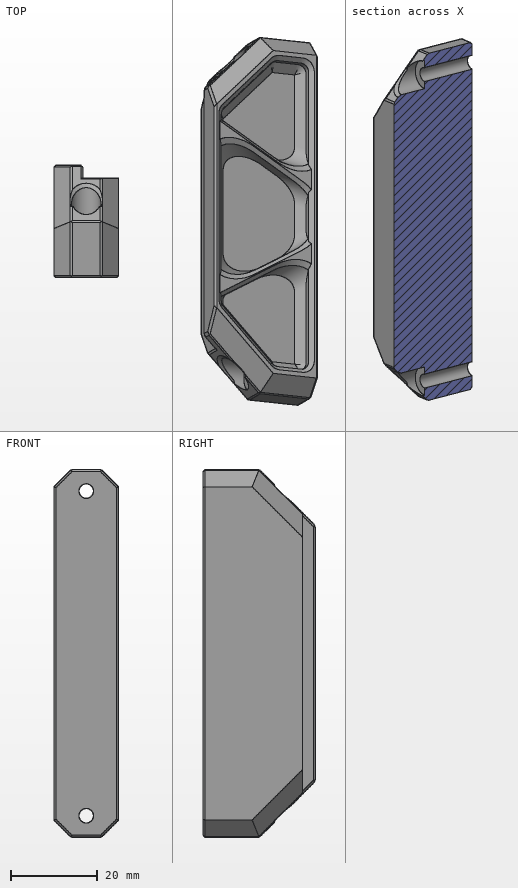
import cadquery as cq
import math

WIDTH = 15.0
DEPTH = 26.0
HEIGHT = 85.0
HALF_WIDTH = WIDTH / 2
HALF_HEIGHT = HEIGHT / 2
MID_DEPTH = DEPTH / 2

SLOPE_RUN = 13.0
SLOPE_ANGLE = 45.0
SLOPE_START = DEPTH - SLOPE_RUN
SIDE_CHAMFER = 4.0
EDGE_BREAK = 0.5
FLAT_BEVEL = 0.3

STEP_X = -0.75
STEP_Y = 23.0

WALL = 2.0
RECESS_DEPTH = 4.5
CORNER_RADIUS = 2.0
RIM_CHAMFER = 1.0
FLOOR_CHAMFER = 2.0
RECESS_TAPER = 45.0
RECESS_FLOOR = -HALF_WIDTH + RECESS_DEPTH

RIB_ANGLE = 30.0
RIB_THICKNESS = 2.0
RIB_MID_Z = 13.7
RIB_TOP_DROP = 0.5
RIB_CHAMFER = 0.87
RIB_FILLET = 5.0
WIDE_CORNER_FILLET = 1.0
BAY_HEIGHT = RECESS_DEPTH - RIB_TOP_DROP

HOLE_Z = 37.5
HOLE_DIAMETER = 3.3
COUNTERBORE_DIAMETER = 6.8
COUNTERBORE_FLOOR = 14.0
COUNTERBORE_CHAMFER = 0.6
CHAMFER_END_Y = 16.5

TOOL_SIZE = 2 * HEIGHT


def chamfer_face(face_a, face_b, setback):
    """Flat face that breaks the edge between two faces equally on both."""
    (normal_a, distance_a), (normal_b, distance_b) = face_a, face_b
    total = normal_a + normal_b
    edge_angle_sine = normal_a.cross(normal_b).Length
    distance = (distance_a + distance_b - setback * edge_angle_sine) / total.Length
    return total.normalized(), distance


def trim(solid, faces):
    """Remove everything outside the given flat faces."""
    for normal, distance in faces:
        plane = cq.Plane(origin=normal * distance, normal=normal)
        solid = solid.cut(cq.Workplane(plane).rect(TOOL_SIZE, TOOL_SIZE).extrude(TOOL_SIZE))
    return solid


FRONT = (cq.Vector(0, -1, 0), 0.0)
BACK = (cq.Vector(0, 1, 0), DEPTH)
STEP_WALL = (cq.Vector(1, 0, 0), STEP_X)
STEP_BASE = (cq.Vector(0, 1, 0), STEP_Y)
SIDES = [(cq.Vector(sign, 0, 0), HALF_WIDTH) for sign in (-1, 1)]
ENDS = [(cq.Vector(0, 0, sign), HALF_HEIGHT) for sign in (-1, 1)]
SLOPES = [
    (cq.Vector(0, 1, sign).normalized(), (SLOPE_START + HALF_HEIGHT) / math.sqrt(2))
    for sign in (-1, 1)
]


def make_convex_body():
    """Full-depth body with all its outer chamfers, before the step."""
    faces = SLOPES + [chamfer_face(end, slope, FLAT_BEVEL) for end, slope in zip(ENDS, SLOPES)]
    faces += [chamfer_face(FRONT, end, EDGE_BREAK) for end in ENDS]
    faces += [chamfer_face(BACK, slope, EDGE_BREAK) for slope in SLOPES]
    for side in SIDES:
        faces += [chamfer_face(FRONT, side, EDGE_BREAK), chamfer_face(BACK, side, EDGE_BREAK)]
        for flat, outer in [(end, FRONT) for end in ENDS] + [(slope, BACK) for slope in SLOPES]:
            side_chamfer = chamfer_face(side, flat, SIDE_CHAMFER)
            faces.append(side_chamfer)
            faces.append(chamfer_face(flat, side_chamfer, FLAT_BEVEL))
            faces.append(chamfer_face(outer, side_chamfer, EDGE_BREAK))
    block = cq.Workplane("XY").box(WIDTH, DEPTH, HEIGHT).translate((0, MID_DEPTH, 0))
    return trim(block, faces)


def make_stepped_body():
    """Join the low full-width part and the full-depth part beside the step."""
    body = make_convex_body()
    low_part = trim(body, [STEP_BASE] + [chamfer_face(STEP_BASE, s, FLAT_BEVEL) for s in SLOPES])
    wall_breaks = [chamfer_face(STEP_WALL, face, EDGE_BREAK) for face in [BACK] + SLOPES]
    high_part = trim(body, [STEP_WALL] + wall_breaks)
    return low_part.union(high_part)


def recess_layer(inset, depth, height, taper=0):
    """Outline of the flat -X side moved inwards by inset, extruded from depth towards the floor."""
    sloped_inset = SIDE_CHAMFER + inset
    bend = sloped_inset * math.tan(math.radians(SLOPE_ANGLE / 2))
    front = inset
    back = DEPTH - inset
    top = HALF_HEIGHT - sloped_inset
    slope_y = SLOPE_START - bend
    slope_z = top + slope_y - back
    upper = [(front, top), (slope_y, top), (back, slope_z)]
    lower = [(y, -z) for y, z in reversed(upper)]
    radius = CORNER_RADIUS + WALL - inset
    outline = cq.Sketch().polygon(upper + lower + upper[:1]).vertices().fillet(radius)
    plane = cq.Workplane("YZ").workplane(offset=-HALF_WIDTH + depth)
    return plane.placeSketch(outline).extrude(height, taper=taper)


def make_bowl():
    """Recess without ribs: chamfered rim, upright wall and chamfered floor edge."""
    rim = recess_layer(WALL - RIM_CHAMFER, 0, RIM_CHAMFER, RECESS_TAPER)
    upright_height = RECESS_DEPTH - RIM_CHAMFER - FLOOR_CHAMFER
    upright = recess_layer(WALL, RIM_CHAMFER, upright_height)
    floor_edge = recess_layer(WALL, RECESS_DEPTH - FLOOR_CHAMFER, FLOOR_CHAMFER, RECESS_TAPER)
    return rim.union(upright).union(floor_edge)


def rib_face(side, end):
    """Side of a rib as a bay limit: side +1 faces away from the middle, end picks the rib."""
    angle = math.radians(RIB_ANGLE)
    normal = cq.Vector(0, math.sin(angle), -end * math.cos(angle)) * side
    on_rib = cq.Vector(0, MID_DEPTH, end * RIB_MID_Z)
    return normal, normal.dot(on_rib) - RIB_THICKNESS / 2


RIB_CORNERS = cq.selectors.BoxSelector((-WIDTH, -DEPTH, -HALF_HEIGHT), (WIDTH, 2 * DEPTH, HALF_HEIGHT))


def make_bay(rib_faces):
    """Bay with 45 degree front and back walls, blended into the upright ribs."""
    floor_inset = WALL + FLOOR_CHAMFER
    front_foot = cq.Vector(RECESS_FLOOR, floor_inset, 0)
    back_foot = cq.Vector(RECESS_FLOOR, DEPTH - floor_inset, 0)
    front_normal = cq.Vector(1, -1, 0).normalized()
    back_normal = cq.Vector(1, 1, 0).normalized()
    walls = [
        (front_normal, front_normal.dot(front_foot)),
        (back_normal, back_normal.dot(back_foot)),
    ]
    block = cq.Workplane("XY").box(BAY_HEIGHT, 2 * DEPTH, 2 * HEIGHT).translate(
        (RECESS_FLOOR - BAY_HEIGHT / 2, MID_DEPTH, 0))
    bay = trim(block, walls + rib_faces)
    if len(rib_faces) == 2:
        return bay.edges(RIB_CORNERS).edges("not #X").fillet(RIB_FILLET)
    bay = bay.edges(RIB_CORNERS).edges("not #X").edges("<Y").fillet(RIB_FILLET)
    return bay.edges(RIB_CORNERS).edges("not #X").edges(">Y").fillet(WIDE_CORNER_FILLET)


def make_recess():
    """Bowl without the chamfered ribs that stand between its bays."""
    slab_depth = 3 * DEPTH
    slab_height = 3 * HEIGHT
    slab = cq.Workplane("XY").box(BAY_HEIGHT, slab_depth, slab_height).translate(
        (RECESS_FLOOR - BAY_HEIGHT / 2, MID_DEPTH, 0))
    upper_rib, lower_rib = 1, -1
    ribs = slab.cut(make_bay([rib_face(-1, upper_rib), rib_face(-1, lower_rib)]))
    for rib in (upper_rib, lower_rib):
        ribs = ribs.cut(make_bay([rib_face(1, rib)]))
    near_border_y = slab_depth / 2 - HALF_WIDTH
    near_border_z = slab_height / 2 - HALF_WIDTH
    bay_rims = cq.selectors.BoxSelector(
        (-WIDTH, MID_DEPTH - near_border_y, -near_border_z),
        (WIDTH, MID_DEPTH + near_border_y, near_border_z))
    ribs = ribs.faces("<X").edges(bay_rims).chamfer(RIB_CHAMFER)
    return make_bowl().cut(ribs)


def hole_cylinder(diameter, floor_y, end):
    plane = cq.Workplane("XZ", origin=(0, floor_y, end * HOLE_Z))
    return plane.circle(diameter / 2).extrude(-DEPTH)


def counterbore_rim_chamfer(counterbore, slope, end):
    """Material removed where the rim of the counterbore is broken on the slope."""
    block = cq.Workplane("XY").box(WIDTH, DEPTH, DEPTH).translate(
        (0, COUNTERBORE_FLOOR + MID_DEPTH, end * HOLE_Z))
    block = trim(block, [slope])
    chamfered = block.cut(counterbore).edges("%ELLIPSE").chamfer(COUNTERBORE_CHAMFER)
    chamfer_end = (cq.Vector(0, -1, 0), -CHAMFER_END_Y)
    return trim(block.cut(chamfered), [chamfer_end])


def cut_screw_hole(body, slope, end):
    """Cut a through hole along Y with a counterbore that opens in the slope."""
    counterbore = hole_cylinder(COUNTERBORE_DIAMETER, COUNTERBORE_FLOOR, end)
    body = body.cut(hole_cylinder(HOLE_DIAMETER, 0, end)).cut(counterbore)
    return body.cut(counterbore_rim_chamfer(counterbore, slope, end))


result = make_stepped_body().cut(make_recess())
for slope, end in zip(SLOPES, (-1, 1)):
    result = cut_screw_hole(result, slope, end)